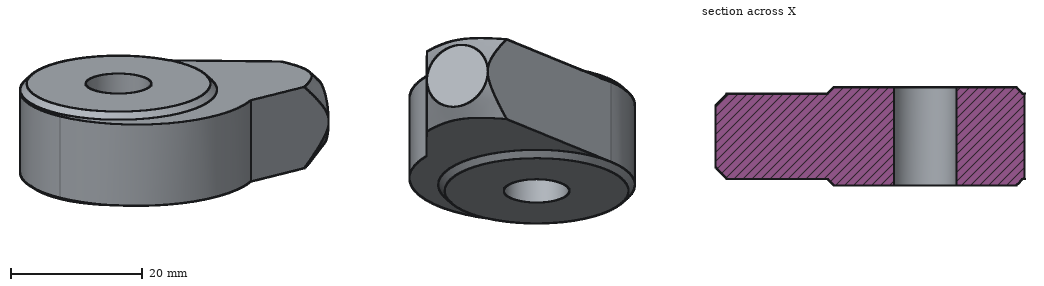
import cadquery as cq
import math

hub_radius = 15.0
hub_height = 15.0
hub_chamfer = 1.0
bore_radius = 5.0

plate_thickness = hub_height - 2 * hub_chamfer
tip_y = 31.95
tip_radius = 5.0

first_growth = 1.55
second_growth = 2.0
first_arc_start = -122
second_arc_start = -56
second_arc_end = 53


def polar(center, radius, angle):
    """Point at the given radius and angle (degrees) about a center."""
    turn = math.radians(angle)
    return (center[0] + radius * math.cos(turn), center[1] + radius * math.sin(turn))


def cam_plate():
    hub_center = (0, 0)
    first_radius = hub_radius + first_growth
    first_center = polar(hub_center, -first_growth, first_arc_start)
    second_radius = first_radius + second_growth
    second_center = polar(first_center, -second_growth, second_arc_start)

    tip_distance = math.hypot(tip_radius, tip_y)
    tip_angle = math.degrees(math.atan2(tip_y, -tip_radius))
    flank_angle = tip_angle + math.degrees(math.acos(hub_radius / tip_distance))
    hub_arc_end = first_arc_start + 360

    def middle(start, end):
        return (start + end) / 2

    return (
        cq.Workplane("XY")
        .workplane(offset=-plate_thickness / 2)
        .moveTo(tip_radius, tip_y)
        .lineTo(-tip_radius, tip_y)
        .lineTo(*polar(hub_center, hub_radius, flank_angle))
        .threePointArc(
            polar(hub_center, hub_radius, middle(flank_angle, hub_arc_end)),
            polar(hub_center, hub_radius, hub_arc_end),
        )
        .threePointArc(
            polar(first_center, first_radius, middle(first_arc_start, second_arc_start)),
            polar(first_center, first_radius, second_arc_start),
        )
        .threePointArc(
            polar(second_center, second_radius, middle(second_arc_start, second_arc_end)),
            polar(second_center, second_radius, second_arc_end),
        )
        .close()
        .extrude(plate_thickness)
    )


def nose_cone():
    """45 degree cone about Y that bevels the nose and encloses the rest of the plate."""
    cone_length = 2 * tip_y
    base_y = tip_y - cone_length
    return (
        cq.Workplane("XY")
        .moveTo(0, base_y)
        .lineTo(tip_radius + cone_length, base_y)
        .lineTo(tip_radius, tip_y)
        .lineTo(0, tip_y)
        .close()
        .revolve(360, (0, 0, 0), (0, 1, 0))
    )


def hub():
    return (
        cq.Workplane("XY")
        .circle(hub_radius)
        .extrude(hub_height / 2, both=True)
        .faces("|Z")
        .chamfer(hub_chamfer)
    )


bore = cq.Workplane("XY").circle(bore_radius).extrude(hub_height, both=True)

result = cam_plate().intersect(nose_cone()).union(hub()).cut(bore)